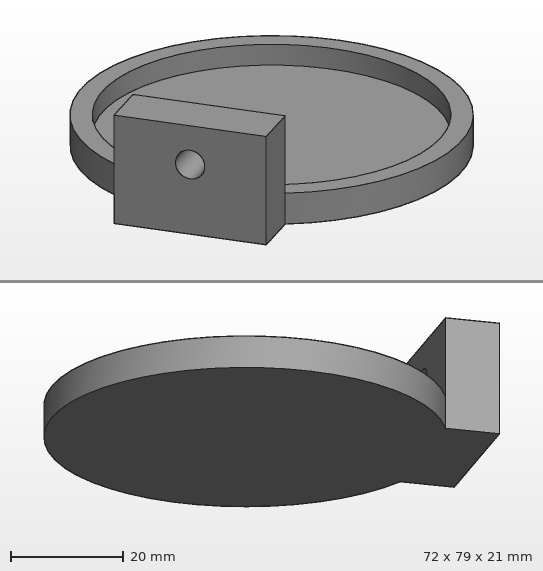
import cadquery as cq

tray_diameter = 72.0
recess_diameter = 64.0
floor_thickness = 2.0
tray_height = 6.0

overall_length = 79.0
overall_height = 21.0
block_width = 28.8
block_depth = 10.0
hole_diameter = 5.5

block_front_y = tray_diameter / 2 - overall_length
hole_z = (tray_height + overall_height) / 2


def make_tray():
    """Disc centred on the Z axis with a shallow round recess in its top."""
    disc = cq.Workplane("XY").circle(tray_diameter / 2).extrude(tray_height)
    recess = (
        cq.Workplane("XY", origin=(0, 0, floor_thickness))
        .circle(recess_diameter / 2)
        .extrude(tray_height - floor_thickness)
    )
    return disc.cut(recess)


def make_block():
    """Upright block reaching from the tray's underside to the full height."""
    return cq.Workplane("XY", origin=(0, block_front_y, 0)).box(
        block_width, block_depth, overall_height, centered=(True, False, False)
    )


def make_hole():
    """Cross hole along Y, midway up the part of the block above the tray."""
    return (
        cq.Workplane("XZ", origin=(0, block_front_y, hole_z))
        .circle(hole_diameter / 2)
        .extrude(-block_depth)
    )


result = make_tray().union(make_block()).cut(make_hole())